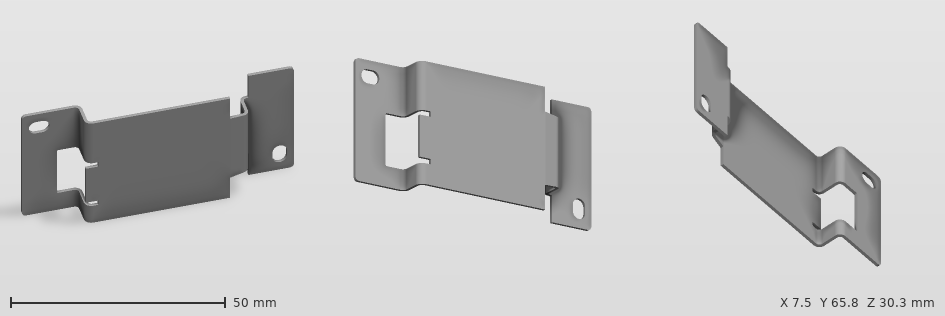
import cadquery as cq
import math

length = 65.8
height = 30.3
depth = 7.5

sheet = 0.8
inner_bend_radius = 1.0
outer_bend_radius = inner_bend_radius + sheet

wall_outer_y = -19.35
strap_wall_y = 19.75
plate_end_y = 15.6
strap_angle = math.radians(10)

flange_edge_y = 21.9
strap_half_height_at_flange = 8.4
strap_half_height_at_plate = 9.0
relief_radius = 0.3

corner_radius = 1.0
slot_length = 5.0
slot_width = 3.4
lower_slot_y = -28.75
lower_slot_z = 11.1
upper_slot_y = 29.5
upper_slot_z = -10.4

window_y_min = -24.5
window_y_max = -16.3
window_z_min = -10.0
window_z_max = 3.0
window_corner_radius = 0.3
tab_side_gap = 1.3

plate_inner_x = depth - sheet
half_length = length / 2
half_height = height / 2
through = 4 * depth


def block(x_min, x_max, y_min, y_max, z_min, z_max):
    size = (x_max - x_min, y_max - y_min, z_max - z_min)
    return cq.Workplane("XY").box(*size, centered=False).translate((x_min, y_min, z_min))


def bent_sheet():
    """Full-height folded sheet: sharp profile first, then each fold rounded on both faces."""
    wall_inner_y = wall_outer_y + sheet
    strap_wall_top_y = strap_wall_y + sheet

    def lean_x(y):
        return plate_inner_x - (y - plate_end_y) * math.tan(strap_angle)

    lean_thickness_x = sheet / math.cos(strap_angle)
    lean_end_y = plate_end_y + (lean_thickness_x - sheet) / math.tan(strap_angle)

    lower_flange_outer = (0, wall_inner_y)
    lower_flange_inner = (sheet, wall_outer_y)
    plate_inner = (plate_inner_x, wall_inner_y)
    plate_outer = (depth, wall_outer_y)
    strap_inner = (lean_x(strap_wall_y), strap_wall_y)
    strap_outer = (lean_x(strap_wall_top_y) + lean_thickness_x, strap_wall_top_y)
    upper_flange_outer = (0, strap_wall_y)
    upper_flange_inner = (sheet, strap_wall_top_y)

    profile = [
        (0, -half_length), lower_flange_outer, plate_inner, (plate_inner_x, plate_end_y),
        strap_inner, upper_flange_outer, (0, half_length),
        (sheet, half_length), upper_flange_inner, strap_outer, (depth, lean_end_y),
        plate_outer, lower_flange_inner, (sheet, -half_length),
    ]
    body = cq.Workplane("XY").workplane(offset=-half_height).polyline(profile).close().extrude(height)

    inside_corners = [lower_flange_inner, plate_inner, strap_inner, upper_flange_inner]
    outside_corners = [lower_flange_outer, plate_outer, strap_outer, upper_flange_outer]
    for corners, radius in ((inside_corners, inner_bend_radius), (outside_corners, outer_bend_radius)):
        for x, y in corners:
            body = body.edges("|Z").edges(cq.NearestToPointSelector((x, y, 0))).fillet(radius)
    return body


def strap_notch():
    """Material removed above the strap, with a rounded relief beside the flange."""
    outline = [
        (flange_edge_y, strap_half_height_at_flange),
        (plate_end_y, strap_half_height_at_plate),
        (plate_end_y, height),
        (flange_edge_y, height),
    ]
    notch = cq.Workplane("YZ").workplane(offset=-depth).polyline(outline).close().extrude(through)
    relief_corner = (0, flange_edge_y, strap_half_height_at_flange)
    return notch.edges("|X").edges(cq.NearestToPointSelector(relief_corner)).fillet(relief_radius)


def mounting_slot(y, z, angle):
    plane = cq.Workplane("YZ").workplane(offset=-sheet)
    return plane.center(y, z).slot2D(slot_length, slot_width, angle).extrude(3 * sheet)


def window():
    opening = block(-depth, through, window_y_min, window_y_max, window_z_min, window_z_max)
    return opening.edges("|X and <Y").fillet(window_corner_radius)


def tab():
    return block(plate_inner_x, depth, wall_outer_y, window_y_max,
                 window_z_min + tab_side_gap, window_z_max - tab_side_gap)


result = bent_sheet()

upper_notch = strap_notch()
result = result.cut(upper_notch).cut(upper_notch.mirror("XY"))

result = result.cut(window()).union(tab())

result = result.cut(mounting_slot(lower_slot_y, lower_slot_z, 0))
result = result.cut(mounting_slot(upper_slot_y, upper_slot_z, 90))

for end in ("<Y", ">Y"):
    result = result.faces(end).edges("|X").fillet(corner_radius)